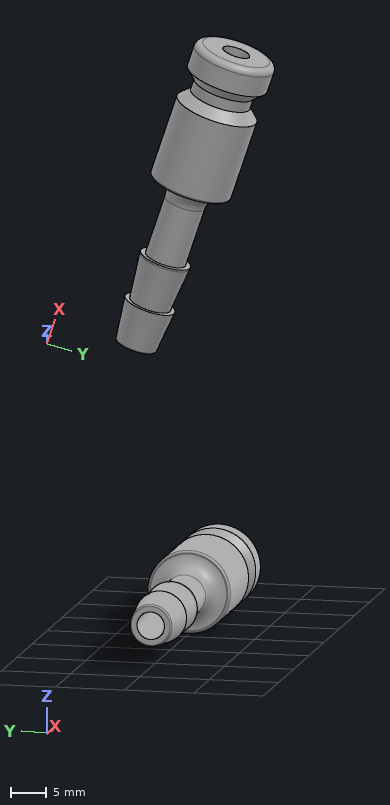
import cadquery as cq
import math

total_length = 46.0
bore_radius = 3.95 / 2
stem_radius = 6.0 / 2
body_radius = 11.95 / 2
groove_radius = 8.9 / 2

barb_radius = 7.5 / 2
barb_start_radius = 6.05 / 2
tip_round = 0.25
first_barb_end = 6.55
second_barb_end = 13.6
rim_width = 0.28

body_start = 25.0
body_edge_round = 0.3
body_face_width = 0.15
stem_blend_radius = body_radius - body_edge_round - body_face_width - stem_radius
stem_end = body_start - stem_blend_radius

body_end = 37.15
groove_slope_length = body_radius - groove_radius
groove_start = body_end + groove_slope_length
groove_width = 1.65
groove_end = groove_start + groove_width
collar_start = groove_end + groove_slope_length
collar_round = 1.0

diagonal = math.sqrt(0.5)


def rise_round(profile, x, radius, size):
    """Quarter round from a face at x, starting size below radius, onto a cylinder."""
    middle = (x + size * (1 - diagonal), radius - size * (1 - diagonal))
    return profile.threePointArc(middle, (x + size, radius))


def fall_round(profile, x, radius, size):
    """Quarter round from a cylinder, starting size before x, onto a face at x."""
    middle = (x - size * (1 - diagonal), radius - size * (1 - diagonal))
    return profile.threePointArc(middle, (x, radius - size))


profile = cq.Workplane("XY").moveTo(0, bore_radius).lineTo(0, barb_start_radius - tip_round)
profile = rise_round(profile, 0, barb_start_radius, tip_round)
profile = (
    profile.lineTo(first_barb_end, barb_radius)
    .lineTo(first_barb_end, barb_start_radius)
    .lineTo(second_barb_end - rim_width, barb_radius)
    .lineTo(second_barb_end, barb_radius)
    .lineTo(second_barb_end, stem_radius)
)

blend_middle = (
    stem_end + stem_blend_radius * diagonal,
    stem_radius + stem_blend_radius * (1 - diagonal),
)
profile = profile.lineTo(stem_end, stem_radius).threePointArc(
    blend_middle, (body_start, stem_radius + stem_blend_radius)
)
profile = profile.lineTo(body_start, body_radius - body_edge_round)
profile = rise_round(profile, body_start, body_radius, body_edge_round)

profile = (
    profile.lineTo(body_end, body_radius)
    .lineTo(groove_start, groove_radius)
    .lineTo(groove_end, groove_radius)
    .lineTo(collar_start, body_radius)
    .lineTo(total_length - collar_round, body_radius)
)
profile = fall_round(profile, total_length, body_radius, collar_round)

profile = profile.lineTo(total_length, bore_radius).close()
result = profile.revolve(360, (0, 0, 0), (1, 0, 0))